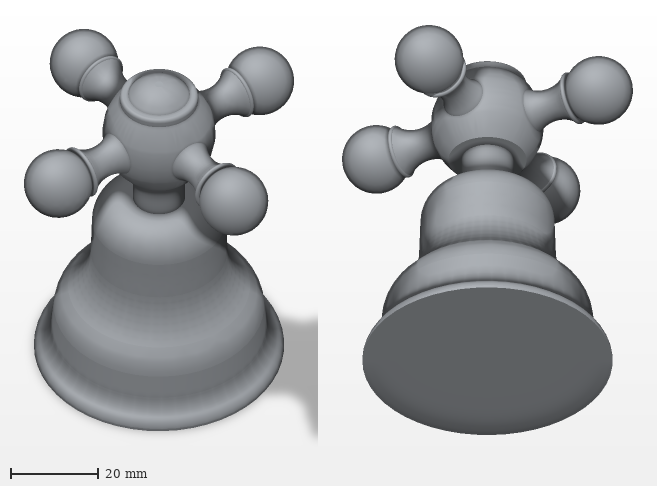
import cadquery as cq
import math

bell_height = 46.9
hub_bottom = 57.1
hub_top = 77.1
total_height = 82.2
arm_axis_height = (hub_bottom + hub_top) / 2

foot_radius = 28.7
foot_edge_height = 0.65
flare_radius = 27.3
flare_height = 2.9
skirt_bottom_radius = 24.8
skirt_bottom_height = 6.9
skirt_top_radius = 24.2
skirt_top_height = 12.9
waist_radius = 20.9
waist_height = 19.0
neck_bottom_radius = 15.7
neck_bottom_height = 29.9
neck_top_radius = 15.4
neck_top_height = 39.8
bell_top_radius = 7.9

stem_radius = 6.0

hub_flat_radius = 9.0
hub_equator_radius = 13.0

rim_height = 2.0
rim_fillet = 0.8
dome_base_radius = 7.1
dome_tip_radius = 1.0

arm_count = 4
ball_radius = 7.9
ball_distance = 28.8
collar_radius = 6.2
collar_inner = 21.8
collar_outer = 22.8
throat_radius = 3.8
throat_distance = 16.4
arm_root_radius = 5.1
arm_root_distance = math.sqrt(hub_equator_radius**2 - arm_root_radius**2)


def make_bell():
    profile = (
        cq.Workplane("XZ")
        .moveTo(0, bell_height)
        .lineTo(bell_top_radius, bell_height)
        .tangentArcPoint((neck_top_radius, neck_top_height), relative=False)
        .lineTo(neck_bottom_radius, neck_bottom_height)
        .tangentArcPoint((waist_radius, waist_height), relative=False)
        .tangentArcPoint((skirt_top_radius, skirt_top_height), relative=False)
        .lineTo(skirt_bottom_radius, skirt_bottom_height)
        .tangentArcPoint((flare_radius, flare_height), relative=False)
        .tangentArcPoint((foot_radius, foot_edge_height), relative=False)
        .lineTo(foot_radius, 0)
        .lineTo(0, 0)
        .close()
    )
    return profile.revolve(360, (0, 0), (0, 1))


def make_stem():
    length = hub_bottom - bell_height
    return cq.Workplane("XY").workplane(offset=bell_height).circle(stem_radius).extrude(length)


def make_arm():
    root_rise = arm_root_radius - throat_radius
    root_run = throat_distance - arm_root_distance
    neck_arc_radius = (root_run**2 + root_rise**2) / (2 * root_rise)
    neck_run = collar_inner - throat_distance
    neck_end_radius = throat_radius + neck_arc_radius - math.sqrt(neck_arc_radius**2 - neck_run**2)

    ball_seat_radius = math.sqrt(ball_radius**2 - (ball_distance - collar_outer) ** 2)
    collar_middle = (collar_inner + collar_outer) / 2
    profile = (
        cq.Workplane("XY")
        .moveTo(arm_root_distance, 0)
        .lineTo(arm_root_distance, arm_root_radius)
        .threePointArc((throat_distance, throat_radius), (collar_inner, neck_end_radius))
        .threePointArc((collar_middle, collar_radius), (collar_outer, neck_end_radius))
        .lineTo(collar_outer, ball_seat_radius)
        .threePointArc((ball_distance, ball_radius), (ball_distance + ball_radius, 0))
        .close()
    )
    arm = profile.revolve(360, (0, 0), (1, 0))
    return arm.translate((0, 0, arm_axis_height))


def make_arms():
    arm = make_arm()
    arms = []
    for index in range(arm_count):
        arms.append(arm.rotate((0, 0, 0), (0, 0, 1), index * 360 / arm_count))
    return arms


def make_hub(arms):
    profile = (
        cq.Workplane("XZ")
        .moveTo(0, hub_bottom)
        .lineTo(hub_flat_radius, hub_bottom)
        .threePointArc((hub_equator_radius, arm_axis_height), (hub_flat_radius, hub_top))
        .lineTo(0, hub_top)
        .close()
    )
    hub = profile.revolve(360, (0, 0), (0, 1))
    for arm in arms:
        hub = hub.cut(arm)
    return hub


def make_cap():
    rim_top = hub_top + rim_height
    profile = (
        cq.Workplane("XZ")
        .moveTo(0, total_height)
        .lineTo(dome_tip_radius, total_height)
        .tangentArcPoint((dome_base_radius, rim_top), relative=False)
        .lineTo(hub_flat_radius - rim_fillet, rim_top)
        .tangentArcPoint((hub_flat_radius, rim_top - rim_fillet), relative=False)
        .lineTo(hub_flat_radius, hub_top)
        .lineTo(0, hub_top)
        .close()
    )
    return profile.revolve(360, (0, 0), (0, 1))


bell = make_bell()
stem = make_stem()
arms = make_arms()
hub = make_hub(arms)
cap = make_cap()

result = cq.Compound.makeCompound([bell.val(), stem.val(), hub.val(), cap.val(), *[arm.val() for arm in arms]])